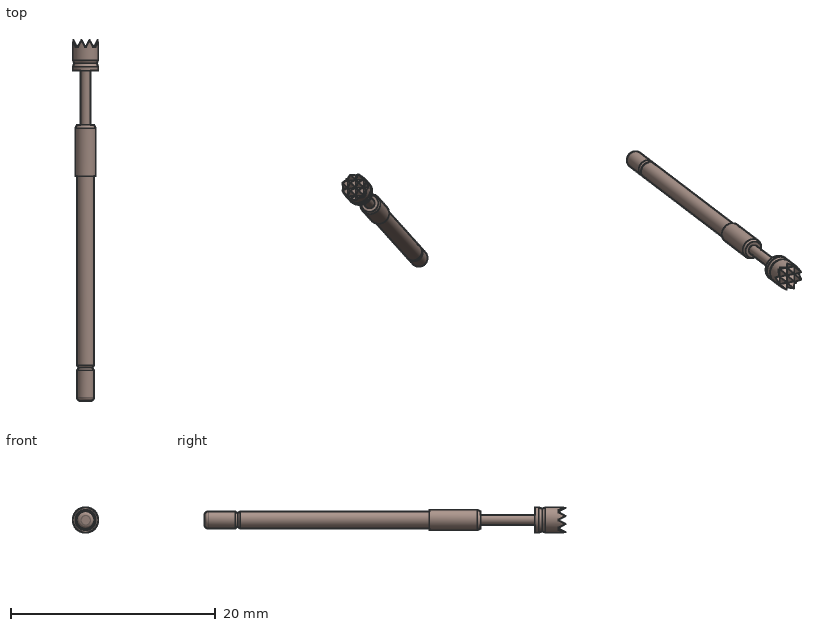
import cadquery as cq
import math

total_length = 35.3
tip_y = total_length / 2

head_diameter = 2.5
head_length = 3.0
head_groove_start = 1.98
head_groove_width = 0.65
head_groove_depth = 0.15

teeth_across = 4
tooth_depth = 0.75
tooth_pitch = head_diameter / 2 / math.hypot(0.5, 1.5)

plunger_diameter = 1.0

sleeve_start = 8.3
sleeve_end = 13.3
sleeve_diameter = 2.0
sleeve_nose_diameter = 1.7
sleeve_nose_length = 0.32

barrel_diameter = 1.7
crimp_start = 31.8
crimp_width = 0.5
crimp_depth = 0.18
tail_fillet = 0.4


def make_cylinder(diameter, start, end):
    """Cylinder on the Y axis between two stations."""
    return (
        cq.Workplane("XZ", origin=(0, tip_y - start, 0))
        .circle(diameter / 2)
        .extrude(end - start)
    )


def make_ring_cutter(diameter, start, width, depth):
    """Triangular ring that cuts a V-groove around a cylinder of the given diameter."""
    radius = diameter / 2
    return (
        cq.Workplane("XY")
        .moveTo(radius, tip_y - start)
        .lineTo(radius - depth, tip_y - start - width / 2)
        .lineTo(radius, tip_y - start - width)
        .close()
        .revolve(360, (0, 0, 0), (0, 1, 0))
    )


def make_tooth_groove(offset):
    """V-groove along Z, open towards +Y, centred at X = offset."""
    half_width = tooth_pitch / 2
    return (
        cq.Workplane("XY")
        .moveTo(offset - half_width, tip_y)
        .lineTo(offset, tip_y - tooth_depth)
        .lineTo(offset + half_width, tip_y)
        .close()
        .extrude(head_diameter, both=True)
    )


def make_head():
    head = make_cylinder(head_diameter, 0, head_length)
    head = head.cut(
        make_ring_cutter(head_diameter, head_groove_start, head_groove_width, head_groove_depth)
    )
    for index in range(1, teeth_across):
        groove = make_tooth_groove((index - teeth_across / 2) * tooth_pitch)
        head = head.cut(groove)
        head = head.cut(groove.rotate((0, 0, 0), (0, 1, 0), 90))
    return head


def make_sleeve():
    nose_inset = (sleeve_diameter - sleeve_nose_diameter) / 2
    sleeve = make_cylinder(sleeve_diameter, sleeve_start, sleeve_end)
    return sleeve.faces(">Y").chamfer(sleeve_nose_length, nose_inset)


def make_barrel():
    barrel = make_cylinder(barrel_diameter, sleeve_end, total_length)
    barrel = barrel.faces("<Y").edges().fillet(tail_fillet)
    return barrel.cut(make_ring_cutter(barrel_diameter, crimp_start, crimp_width, crimp_depth))


plunger = make_cylinder(plunger_diameter, head_length, sleeve_start)
result = make_head().union(plunger).union(make_sleeve()).union(make_barrel())